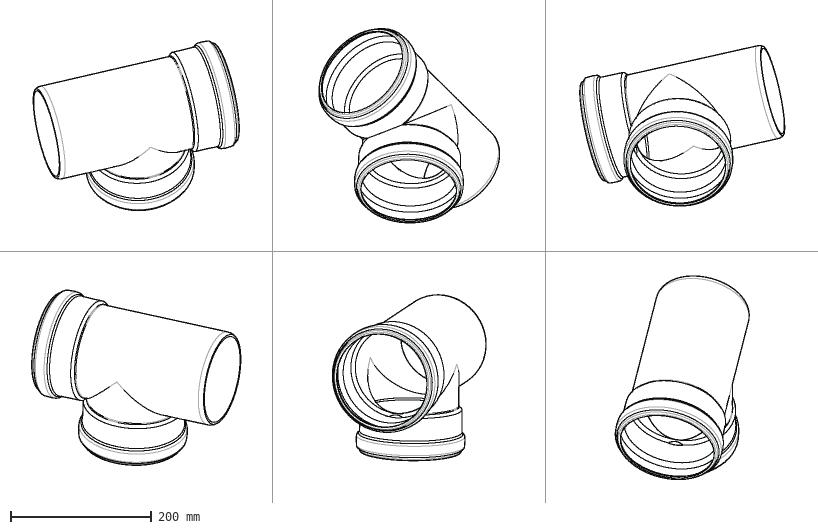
import cadquery as cq
import math

RUN_LENGTH = 265.5
SOCKET_REACH = 131.4
SPIGOT_REACH = RUN_LENGTH - SOCKET_REACH
BRANCH_LEAN = 2.5

PIPE_RADIUS = 135.8 / 2
BORE_RADIUS = 124.7 / 2

SPIGOT_ROUND_LENGTH = 7.0
SPIGOT_ROUND_DEPTH = 2.5

LIP_RADIUS = 70.9
LIP_ROUND_RADIUS = 72.9
BEAD_FLANK_RADIUS = 74.4
BEAD_SIDE_RADIUS = 77.2
BEAD_RADIUS = 155.58 / 2
SLEEVE_START_RADIUS = 146.2 / 2
SLEEVE_END_RADIUS = 145.4 / 2
CONE_END_RADIUS = PIPE_RADIUS + 0.6

SLEEVE_BORE_START_RADIUS = 136.1 / 2
SLEEVE_BORE_END_RADIUS = 135.3 / 2
SEAL_GROOVE_RADIUS = 147.7 / 2

LIP_ROUND_DEPTH = 2.5
BEAD_FRONT_FLANK_DEPTH = 5.2
BEAD_START_DEPTH = 8.6
BEAD_END_DEPTH = 22.2
BEAD_REAR_FLANK_DEPTH = 25.6
SLEEVE_START_DEPTH = 28.9
SLEEVE_END_DEPTH = 61.6
CONE_END_DEPTH = 65.7
PIPE_START_DEPTH = 67.4
BEAD_MIDDLE_DEPTH = (BEAD_START_DEPTH + BEAD_END_DEPTH) / 2


def add_round(profile, start, end, bulge):
    """Add an arc to a profile drawn from the mouth inwards.

    A convex arc (bulge 1) lies along the axis at its larger radius,
    a hollow one (bulge -1) at its smaller radius.
    """
    rise = end[0] - start[0]
    length = start[1] - end[1]
    chord = math.hypot(rise, length)
    arc_radius = chord ** 2 / (2 * abs(rise))
    sagitta = arc_radius - math.sqrt(arc_radius ** 2 - (chord / 2) ** 2)
    offset = bulge * sagitta / chord
    middle = (
        (start[0] + end[0]) / 2 + offset * length,
        (start[1] + end[1]) / 2 + offset * rise,
    )
    return profile.threePointArc(middle, end)


def revolve_about_z(profile):
    """Turn a closed (radius, height) profile about the Z axis."""
    return profile.close().revolve(360, (0, 0, 0), (0, 1, 0))


def add_socket_outside(profile):
    """Trace the outside of a socket from its mouth to the plain pipe."""
    mouth = SOCKET_REACH
    lip = (LIP_RADIUS, mouth)
    lip_back = (LIP_ROUND_RADIUS, mouth - LIP_ROUND_DEPTH)
    front_flank = (BEAD_FLANK_RADIUS, mouth - BEAD_FRONT_FLANK_DEPTH)
    bead_start = (BEAD_SIDE_RADIUS, mouth - BEAD_START_DEPTH)
    bead_middle = (BEAD_RADIUS, mouth - BEAD_MIDDLE_DEPTH)
    bead_end = (BEAD_SIDE_RADIUS, mouth - BEAD_END_DEPTH)
    rear_flank = (BEAD_FLANK_RADIUS, mouth - BEAD_REAR_FLANK_DEPTH)
    sleeve_start = (SLEEVE_START_RADIUS, mouth - SLEEVE_START_DEPTH)
    sleeve_end = (SLEEVE_END_RADIUS, mouth - SLEEVE_END_DEPTH)
    cone_end = (CONE_END_RADIUS, mouth - CONE_END_DEPTH)
    pipe_start = (PIPE_RADIUS, mouth - PIPE_START_DEPTH)

    profile = profile.lineTo(*lip)
    profile = add_round(profile, lip, lip_back, 1)
    profile = add_round(profile, lip_back, front_flank, -1)
    profile = add_round(profile, front_flank, bead_start, 1)
    profile = profile.threePointArc(bead_middle, bead_end)
    profile = add_round(profile, bead_end, rear_flank, 1)
    profile = profile.lineTo(*sleeve_start)
    profile = profile.lineTo(*sleeve_end).lineTo(*cone_end)
    return add_round(profile, cone_end, pipe_start, -1)


def run_outside():
    """Socket at +Z and pipe down to the rounded spigot end."""
    round_start = (PIPE_RADIUS, SPIGOT_ROUND_LENGTH - SPIGOT_REACH)
    spigot_end = (PIPE_RADIUS - SPIGOT_ROUND_DEPTH, -SPIGOT_REACH)
    profile = cq.Workplane("YZ").moveTo(0, SOCKET_REACH)
    profile = add_socket_outside(profile).lineTo(*round_start)
    profile = add_round(profile, round_start, spigot_end, 1)
    return revolve_about_z(profile.lineTo(0, -SPIGOT_REACH))


def branch_outside():
    """Socket at +Z and pipe down to the origin."""
    profile = cq.Workplane("YZ").moveTo(0, SOCKET_REACH)
    profile = add_socket_outside(profile).lineTo(PIPE_RADIUS, 0)
    return revolve_about_z(profile.lineTo(0, 0))


def cavity(far_end):
    """Socket sleeve with its seal groove, then the bore down to far_end."""
    mouth = SOCKET_REACH
    profile = (
        cq.Workplane("YZ")
        .moveTo(0, mouth)
        .lineTo(SLEEVE_BORE_START_RADIUS, mouth)
        .lineTo(SLEEVE_BORE_START_RADIUS, mouth - LIP_ROUND_DEPTH)
        .lineTo(SEAL_GROOVE_RADIUS, mouth - BEAD_START_DEPTH)
        .lineTo(SEAL_GROOVE_RADIUS, mouth - BEAD_END_DEPTH)
        .lineTo(SLEEVE_BORE_START_RADIUS, mouth - SLEEVE_START_DEPTH)
        .lineTo(SLEEVE_BORE_END_RADIUS, mouth - SLEEVE_END_DEPTH)
        .lineTo(BORE_RADIUS, mouth - CONE_END_DEPTH)
        .lineTo(BORE_RADIUS, far_end)
        .lineTo(0, far_end)
    )
    return revolve_about_z(profile)


def along_run(body):
    """Swing the mouth from +Z to +Y."""
    return body.rotate((0, 0, 0), (1, 0, 0), -90)


def along_branch(body):
    """Swing the mouth from +Z to -Z, leaning towards +Y."""
    return body.rotate((0, 0, 0), (1, 0, 0), 180 + BRANCH_LEAN)


outside = along_run(run_outside()).union(along_branch(branch_outside()))
inside = along_run(cavity(-SPIGOT_REACH)).union(along_branch(cavity(0)))
result = outside.cut(inside)